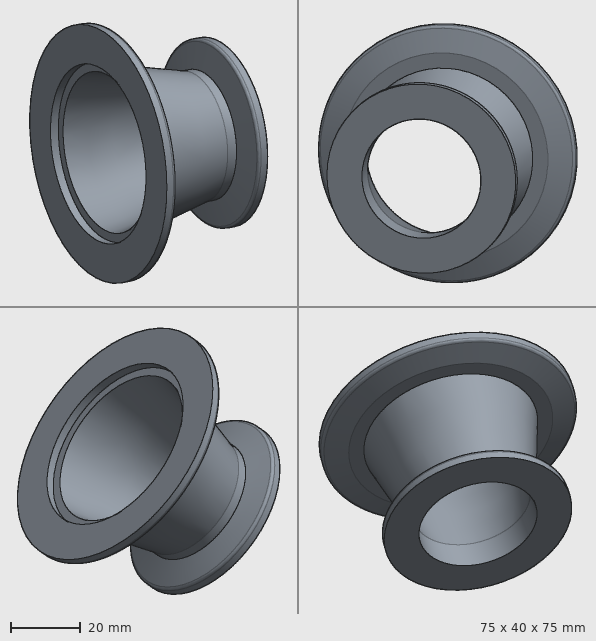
import cadquery as cq
import math

length = 40.0
large_flange_radius = 37.5
small_flange_radius = 27.5
rim_thickness = 3.0
rim_fillet = 1.0
selection_margin = 0.1
bevel_slope = math.tan(math.radians(15))

large_flange_thickness = 5.0
cone_base_radius = 25.5
neck_radius = 19.05
neck_start = length - 8.25

recess_radius = 26.1
recess_depth = 2.6
bore_large_radius = 23.5
bore_small_radius = 17.3

large_bevel_end_radius = large_flange_radius - (large_flange_thickness - rim_thickness) / bevel_slope
small_bevel_rise = (small_flange_radius - neck_radius) * bevel_slope
small_flange_thickness = rim_thickness + small_bevel_rise


def revolve_about_y(points):
    """Revolve a closed (radius, Y) outline around the Y axis."""
    return cq.Workplane("XY").polyline(points).close().revolve(360, (0, 0, 0), (0, 1, 0))


def flange(outline):
    """Revolve a flange and round the edge between its rim and its bevel (third outline point)."""
    rim_radius, rim_edge_y = outline[2]
    reach = rim_radius + selection_margin
    rim_edge = cq.selectors.BoxSelector(
        (-reach, rim_edge_y - selection_margin, -reach),
        (reach, rim_edge_y + selection_margin, reach),
        boundingbox=True,
    )
    return revolve_about_y(outline).edges(rim_edge).fillet(rim_fillet)


large_flange = flange([
    (0, 0),
    (large_flange_radius, 0),
    (large_flange_radius, rim_thickness),
    (large_bevel_end_radius, large_flange_thickness),
    (0, large_flange_thickness),
])

small_flange = flange([
    (0, length),
    (small_flange_radius, length),
    (small_flange_radius, length - rim_thickness),
    (neck_radius, length - small_flange_thickness),
    (0, length - small_flange_thickness),
])

tube = revolve_about_y([
    (0, large_flange_thickness),
    (cone_base_radius, large_flange_thickness),
    (neck_radius, neck_start),
    (neck_radius, length - small_flange_thickness),
    (0, length - small_flange_thickness),
])

bore = revolve_about_y([
    (0, 0),
    (recess_radius, 0),
    (recess_radius, recess_depth),
    (bore_large_radius, recess_depth),
    (bore_small_radius, neck_start),
    (bore_small_radius, length),
    (0, length),
])

result = large_flange.union(tube).union(small_flange).cut(bore)